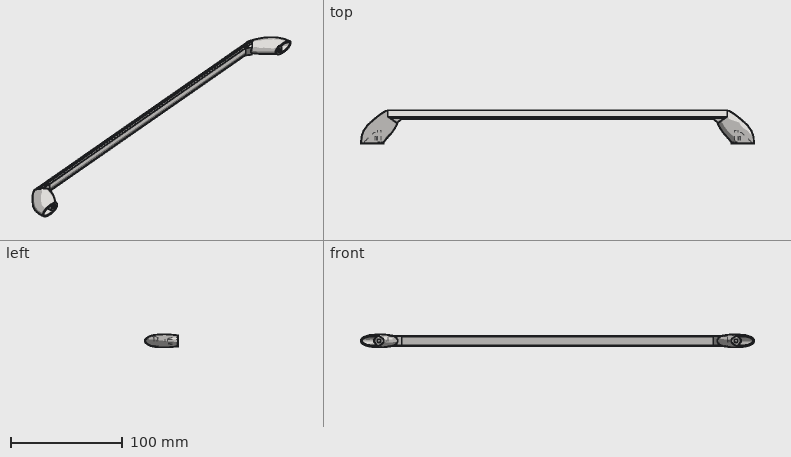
import cadquery as cq

LENGTH = 352.68
HEIGHT = 30.0
HALF_LENGTH = LENGTH / 2

BAR_END_INSET = 24.0
BAR_HALF_WIDTH = 4.7
UNDERSIDE_HALF_WIDTH = 3.8
UNDERSIDE_EDGE_Y = 22.5
BAR_CREASE_Y = 24.2
UNDERSIDE_Y = 21.9
ARCH_MID_HALF_WIDTH = 3.2
ARCH_MID_Y = 27.3

PLINTH_HEIGHT = 1.0
FOOT_HALF_WIDTH = 6.0
BASE_SECTION = (PLINTH_HEIGHT, 0.0, 20.6, 5.1)
FOOT_SECTIONS = [
    BASE_SECTION,
    (6.5, 0.65, 25.2, 5.75),
    (12.0, 2.7, 29.6, FOOT_HALF_WIDTH),
    (18.0, 7.5, 32.8, 5.85),
    (24.0, 14.6, 34.6, 4.8),
    (28.0, 19.7, 34.0, 2.6),
    (29.5, 22.6, 32.0, 1.1),
]

JOINT_TOP_INSET = 24.4
NECK_BAR_INSET = 36.7
NECK_FOOT_INSET = 32.3
NECK_FOOT_Y = 18.5
NECK_HALF_WIDTH = 3.9

HOLE_PITCH = 320.0
HOLE_DIAMETER = 3.3
HOLE_DEPTH = 12.0
BOSS_DIAMETER = 8.0
RIM = 1.2
POCKET_DEPTH = 10.0
POCKET_FLOOR_SECTION = (POCKET_DEPTH, 11.5, 20.0, 2.5)


def ellipse_wire(y, outer_end, inner_end, half_width):
    """Level ellipse at height y, lying between two insets from the left tip."""
    centre_x = (outer_end + inner_end) / 2 - HALF_LENGTH
    half_length = (inner_end - outer_end) / 2
    plane = cq.Workplane("XZ", origin=(centre_x, y, 0))
    return plane.ellipse(half_length, half_width).wires().val()


def make_bar():
    """Bar along X: smooth arch outside, bevelled and slightly round underside."""
    bar_length = LENGTH - 2 * BAR_END_INSET
    arch_points = [
        (ARCH_MID_Y, -ARCH_MID_HALF_WIDTH),
        (HEIGHT, 0),
        (ARCH_MID_Y, ARCH_MID_HALF_WIDTH),
        (BAR_CREASE_Y, BAR_HALF_WIDTH),
    ]
    return (
        cq.Workplane("YZ", origin=(-bar_length / 2, 0, 0))
        .moveTo(BAR_CREASE_Y, BAR_HALF_WIDTH)
        .lineTo(UNDERSIDE_EDGE_Y, UNDERSIDE_HALF_WIDTH)
        .threePointArc((UNDERSIDE_Y, 0), (UNDERSIDE_EDGE_Y, -UNDERSIDE_HALF_WIDTH))
        .lineTo(BAR_CREASE_Y, -BAR_HALF_WIDTH)
        .spline(arch_points, includeCurrent=True)
        .close()
        .extrude(bar_length)
    )


def neck_wedge(half_width):
    """Wedge under the bar crease, from the slanted foot joint to the bar underside."""
    return (
        cq.Workplane("XY", origin=(-HALF_LENGTH, 0, 0))
        .moveTo(JOINT_TOP_INSET, BAR_CREASE_Y)
        .lineTo(NECK_FOOT_INSET, NECK_FOOT_Y)
        .lineTo(NECK_BAR_INSET, UNDERSIDE_Y)
        .lineTo(NECK_BAR_INSET, BAR_CREASE_Y)
        .close()
        .extrude(half_width, both=True)
    )


def make_foot_body():
    """Leaning body of the left foot on its straight plinth."""
    body = cq.Solid.makeLoft([ellipse_wire(*section) for section in FOOT_SECTIONS])
    base_wire = ellipse_wire(0, *BASE_SECTION[1:])
    plinth = cq.Solid.extrudeLinear(base_wire, [], cq.Vector(0, PLINTH_HEIGHT, 0))
    return cq.Workplane(plinth).union(cq.Workplane(body))


def make_pocket():
    """Leaning pocket under the left foot, with the screw boss left standing."""
    _, outer_end, inner_end, half_width = BASE_SECTION
    mouth_section = (0, outer_end + RIM, inner_end - RIM, half_width - RIM)
    pocket = cq.Solid.makeLoft([ellipse_wire(*mouth_section), ellipse_wire(*POCKET_FLOOR_SECTION)])
    boss = screw_axis().circle(BOSS_DIAMETER / 2).extrude(-POCKET_DEPTH)
    return cq.Workplane(pocket).cut(boss)


def screw_axis():
    """Base plane centred on the screw hole of the left foot."""
    return cq.Workplane("XZ", origin=(-HOLE_PITCH / 2, 0, 0))


def make_end():
    """Left foot together with its neck."""
    hole = screw_axis().circle(HOLE_DIAMETER / 2).extrude(-HOLE_DEPTH)
    trimmed_foot = make_foot_body().cut(neck_wedge(2 * FOOT_HALF_WIDTH))
    neck = neck_wedge(NECK_HALF_WIDTH)
    return trimmed_foot.union(neck).cut(make_pocket()).cut(hole)


left_end = make_end()
result = make_bar().union(left_end).union(left_end.mirror("YZ"))